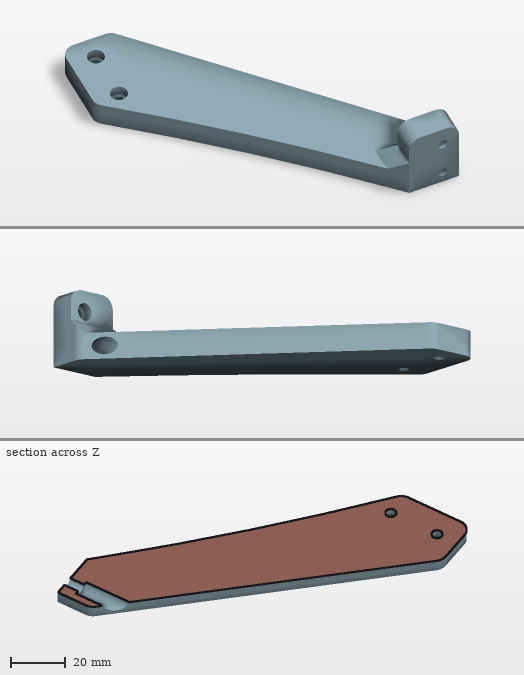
import cadquery as cq

LENGTH_X = 110.0
LENGTH_Y = 109.5
HEIGHT = 28.0
PLATE_THICKNESS = 10.0
CORNER_RADIUS = 5.1

FOOT_WIDTH = 30.0
FOOT_SIDE = 20.1
HEAD_EDGE_X = 95.8
TIP_FLAT = 3.0

LUG_THICKNESS = 10.0
LUG_WIDTH = 20.0
SKIRT_SIZE = 5.9
LUG_X = LENGTH_X - LUG_THICKNESS
LUG_Y = LENGTH_Y - LUG_WIDTH
SKIRT_TOP = PLATE_THICKNESS + SKIRT_SIZE

HOLE_DIAMETER = 3.8
BORE_DIAMETER = 6.6
BORE_DEPTH = 4.0
FOOT_HOLE_X = 8.8
FOOT_HOLE_Y = 10.1
FOOT_HOLE_SPACING = 20.0
LUG_HOLE_Y = LENGTH_Y - 6.6
LUG_HOLE_SPACING = 15.1
LUG_HOLE_Z = PLATE_THICKNESS / 2


def arm_prism(height):
    """Full arm outline, with rounded corners, raised to the given height."""
    prism = (
        cq.Workplane("XY")
        .lineTo(0, FOOT_SIDE)
        .lineTo(HEAD_EDGE_X, LENGTH_Y)
        .lineTo(LENGTH_X, LENGTH_Y)
        .lineTo(LENGTH_X, LUG_Y)
        .lineTo(LENGTH_X - TIP_FLAT, LUG_Y - TIP_FLAT)
        .tangentArcPoint((FOOT_WIDTH, 0), relative=False)
        .close()
        .extrude(height)
    )
    rounded_corners = [(0, 0), (0, FOOT_SIDE), (HEAD_EDGE_X, LENGTH_Y), (FOOT_WIDTH, 0)]
    for x, y in rounded_corners:
        corner = cq.selectors.NearestToPointSelector((x, y, height / 2))
        prism = prism.edges("|Z").edges(corner).fillet(CORNER_RADIUS)
    return prism


def lug():
    """Upright lug whose two flared sides meet in a mitre, trimmed to the arm outline."""
    across_x = (
        cq.Workplane("XZ")
        .moveTo(LUG_X - SKIRT_SIZE, 0)
        .lineTo(LUG_X - SKIRT_SIZE, PLATE_THICKNESS)
        .lineTo(LUG_X, SKIRT_TOP)
        .lineTo(LUG_X, HEIGHT)
        .lineTo(LENGTH_X, HEIGHT)
        .lineTo(LENGTH_X, 0)
        .close()
        .extrude(-LENGTH_Y)
    )
    across_y = (
        cq.Workplane("YZ")
        .moveTo(LUG_Y - SKIRT_SIZE, 0)
        .lineTo(LUG_Y - SKIRT_SIZE, PLATE_THICKNESS)
        .lineTo(LUG_Y, SKIRT_TOP)
        .lineTo(LUG_Y, HEIGHT)
        .lineTo(LENGTH_Y, HEIGHT)
        .lineTo(LENGTH_Y, 0)
        .close()
        .extrude(LENGTH_X)
        .edges("|X and >Z")
        .fillet(CORNER_RADIUS)
    )
    return across_x.intersect(across_y).intersect(arm_prism(HEIGHT))


def foot_hole_cutter(x):
    """Vertical hole through the plate, counterbored from the top."""
    plane = cq.Workplane("XY").center(x, FOOT_HOLE_Y)
    through = plane.circle(HOLE_DIAMETER / 2).extrude(PLATE_THICKNESS)
    bore = (
        plane.workplane(offset=PLATE_THICKNESS - BORE_DEPTH)
        .circle(BORE_DIAMETER / 2)
        .extrude(BORE_DEPTH)
    )
    return through.union(bore)


def lug_hole_cutter(z, start_x):
    """Hole along X, with its counterbore open toward -X from start_x."""
    plane = cq.Workplane("YZ").center(LUG_HOLE_Y, z)
    floor_x = LUG_X + BORE_DEPTH
    through = plane.workplane(offset=start_x).circle(HOLE_DIAMETER / 2).extrude(LENGTH_X - start_x)
    bore = plane.workplane(offset=start_x).circle(BORE_DIAMETER / 2).extrude(floor_x - start_x)
    return through.union(bore)


result = arm_prism(PLATE_THICKNESS).union(lug())

for x in (FOOT_HOLE_X, FOOT_HOLE_X + FOOT_HOLE_SPACING):
    result = result.cut(foot_hole_cutter(x))

result = result.cut(lug_hole_cutter(LUG_HOLE_Z + LUG_HOLE_SPACING, LUG_X))
result = result.cut(lug_hole_cutter(LUG_HOLE_Z, 0))